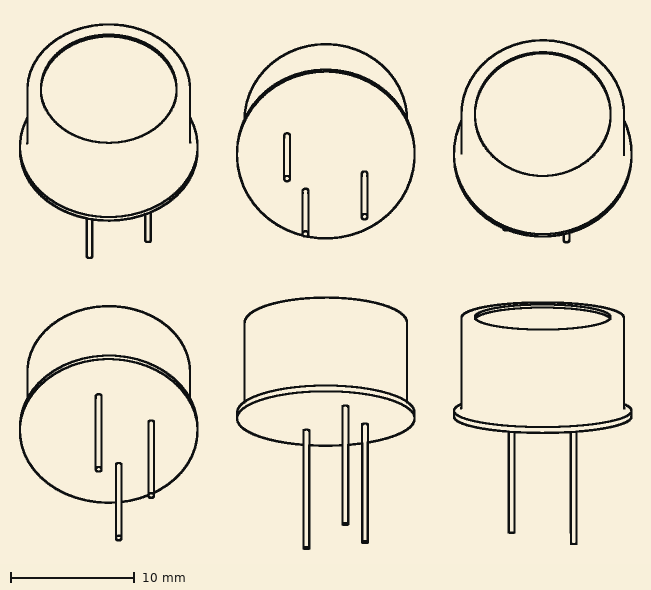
import cadquery as cq

flange_diameter = 14.4
flange_thickness = 0.49

can_diameter = 13.2
can_top = 8.2
top_edge_radius = 0.1
foot_radius = 0.21

recess_diameter = 11.0
recess_depth = 0.25

lead_diameter = 0.48
lead_length = 10.0
lead_circle_radius = 3.54
lead_directions = [(-1, 0), (0, -1), (1, 0)]


def make_body():
    """Flange and can, with a concave fillet between them and a rounded top edge."""
    flange = cq.Workplane("XY").circle(flange_diameter / 2).extrude(flange_thickness)
    can_height = can_top - flange_thickness
    body = flange.faces(">Z").workplane().circle(can_diameter / 2).extrude(can_height)
    inner_edge = cq.selectors.RadiusNthSelector(0)
    body = body.faces("<Z[1]").edges(inner_edge).fillet(foot_radius)
    return body.faces(">Z").edges().fillet(top_edge_radius)


def cut_recess(body):
    return body.faces(">Z").workplane().circle(recess_diameter / 2).cutBlind(-recess_depth)


def make_leads():
    centers = [(lead_circle_radius * x, lead_circle_radius * y) for x, y in lead_directions]
    return cq.Workplane("XY").pushPoints(centers).circle(lead_diameter / 2).extrude(-lead_length)


result = cut_recess(make_body()).union(make_leads())